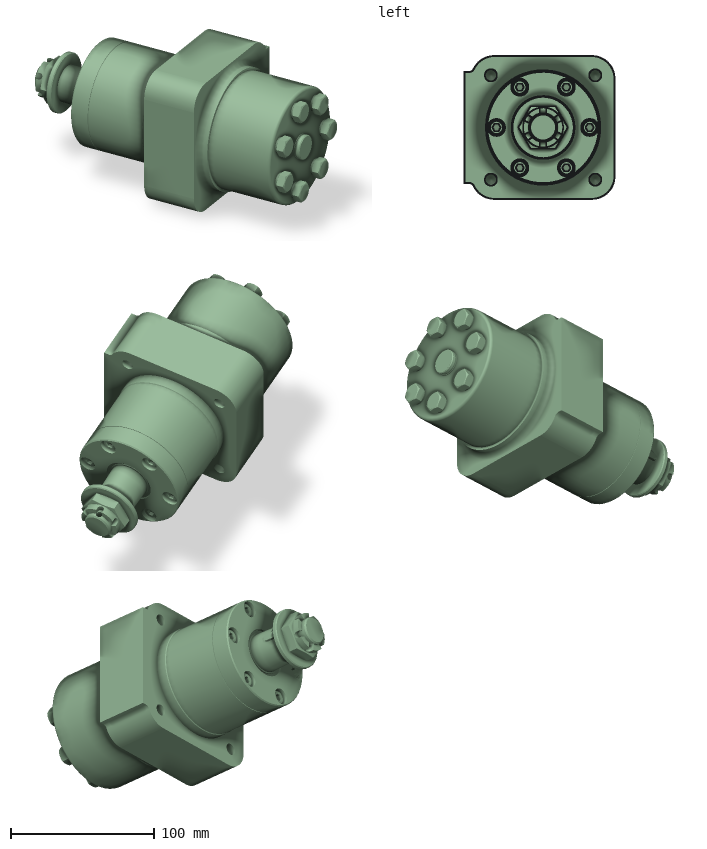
import cadquery as cq
import math


NUT_FRONT = 3.3
HEX_FRONT = 8.5
WASHER_FRONT = 16.7
WASHER_BACK = 20.4
TAPER_START = 20.8
TAPER_END = 44.7
CAP_FRONT = 46.6
CAP_GROOVE = 60.3
COLLAR_FRONT = 104.3
FLANGE_FRONT = 112.2
FLANGE_BACK = 152.3
STEP_BACK = 160.0
MOTOR_BACK = 209.1
LENGTH = 217.0

CAP_DIAMETER = 79.0
CAP_CHAMFER_DEPTH = 0.7
CAP_CHAMFER_LENGTH = 0.9
GROOVE_WIDTH = 0.7
GROOVE_DEPTH = 0.5
COLLAR_DIAMETER = 80.0
STEP_DIAMETER = 90.0
STEP_FILLET = 3.7
MOTOR_DIAMETER = 86.0
MOTOR_FILLET = 2.0

FLANGE_SIZE = 100.0
FLANGE_CORNER_RADIUS = 16.0
FLANGE_TAB_PROJECTION = 5.0
FLANGE_TAB_WIDTH = 77.7
FLANGE_TAB_FILLET = 3.7
FLANGE_HOLE_DIAMETER = 8.5
FLANGE_HOLE_SPACING = 72.9
FLANGE_HOLE_DEPTH = 20.0
DRILL_POINT_ANGLE = 118.0

CAP_SCREW_COUNT = 6
CAP_SCREW_CIRCLE_RADIUS = 32.5
COUNTERBORE_DIAMETER = 12.0
COUNTERBORE_DEPTH = 6.5
SCREW_HEAD_DIAMETER = 10.0
SCREW_HEAD_CHAMFER = 0.5
SCREW_HEAD_SINK = 2.2
SOCKET_FLATS = 5.0
SOCKET_DEPTH = 2.5

BOLT_COUNT = 7
BOLT_CIRCLE_RADIUS = 32.0
BOLT_FLATS = 13.0
BOLT_FACE_DIAMETER = 12.0
BOLT_FACE_HEIGHT = 1.3
BOLT_CHAMFER = 0.9

PLUG_DIAMETER = 18.0
PLUG_NECK_DIAMETER = 17.0
PLUG_HEIGHT = 4.5
PLUG_RIM = 0.7
PLUG_HEAD_HEIGHT = 2.5
PLUG_CHAMFER = 0.7

THREAD_DIAMETER = 20.0
THREAD_CHAMFER = 0.98
COTTER_HOLE_DIAMETER = 4.5
COTTER_HOLE_X = 3.5
TAPER_SMALL_DIAMETER = 27.0
TAPER_LARGE_DIAMETER = 28.2
JOURNAL_DIAMETER = 35.0
JOURNAL_SINK = 1.7
LIP_DIAMETER = 30.4
LIP_SINK = 0.9

KEY_WIDTH = 5.0
KEY_LENGTH = 13.5
KEY_END = 34.5
KEY_TOP = 15.5
KEY_HEIGHT = 5.0

WASHER_DIAMETER = 44.0
WASHER_CHAMFER = 0.7
NUT_FLATS = 30.0
CASTLE_DIAMETER = 28.0
NUT_CHAMFER_LENGTH = 0.9
NUT_SLOT_COUNT = 6
NUT_SLOT_WIDTH = 4.5
NUT_SLOT_END = 7.8


def hex_corner_diameter(flats):
    return flats / math.cos(math.radians(30))


def revolve_about_x(profile):
    """Turn a closed (x, radius) outline about the X axis."""
    return cq.Workplane("XY").polyline(profile).close().revolve(360, (0, 0, 0), (1, 0, 0))


def rod(x_start, x_end, diameter):
    """Cylinder on the X axis."""
    return cq.Workplane("YZ", origin=(x_start, 0, 0)).circle(diameter / 2).extrude(x_end - x_start)


def hex_rod(x_start, x_end, flats):
    """Hexagonal bar on the X axis with corners at +Y and -Y."""
    plane = cq.Workplane("YZ", origin=(x_start, 0, 0))
    return plane.polygon(6, hex_corner_diameter(flats)).extrude(x_end - x_start)


def around_axis(shape, count, radius):
    """Evenly spaced shifted copies of a shape about the X axis, the first one at +Y."""
    copies = []
    for index in range(count):
        angle = index * 2 * math.pi / count
        copies.append(shape.translate((0, radius * math.cos(angle), radius * math.sin(angle))))
    return copies


def make_flange():
    thickness = FLANGE_BACK - FLANGE_FRONT
    half = FLANGE_SIZE / 2
    tab_reach = half + FLANGE_TAB_PROJECTION
    plane = cq.Workplane("YZ", origin=(FLANGE_FRONT, 0, 0))
    flange = plane.rect(FLANGE_SIZE, FLANGE_SIZE).extrude(thickness)
    flange = flange.edges("|X").fillet(FLANGE_CORNER_RADIUS)
    tab = plane.center(tab_reach / 2, 0).rect(tab_reach, FLANGE_TAB_WIDTH).extrude(thickness)
    flange = flange.union(tab)

    corner_center = half - FLANGE_CORNER_RADIUS
    notch_z = FLANGE_TAB_WIDTH / 2
    notch_y = corner_center + math.sqrt(FLANGE_CORNER_RADIUS**2 - (notch_z - corner_center) ** 2)
    search_margin = 0.2
    for side in (-1, 1):
        near_notch = cq.selectors.BoxSelector(
            (FLANGE_FRONT, notch_y - search_margin, side * notch_z - search_margin),
            (FLANGE_BACK, notch_y + search_margin, side * notch_z + search_margin),
        )
        flange = flange.edges(near_notch).fillet(FLANGE_TAB_FILLET)
    return flange


def make_flange_hole():
    """Blind drilled hole with a conical end, on the X axis."""
    radius = FLANGE_HOLE_DIAMETER / 2
    hole_end = FLANGE_FRONT + FLANGE_HOLE_DEPTH
    point_length = radius / math.tan(math.radians(DRILL_POINT_ANGLE / 2))
    return revolve_about_x([
        (FLANGE_FRONT, 0),
        (FLANGE_FRONT, radius),
        (hole_end, radius),
        (hole_end + point_length, 0),
    ])


def make_front_barrel():
    """Cap, grooved barrel and locating collar in front of the flange."""
    cap_radius = CAP_DIAMETER / 2
    collar_radius = COLLAR_DIAMETER / 2
    return revolve_about_x([
        (CAP_FRONT, 0),
        (CAP_FRONT, cap_radius - CAP_CHAMFER_DEPTH),
        (CAP_FRONT + CAP_CHAMFER_LENGTH, cap_radius),
        (CAP_GROOVE, cap_radius),
        (CAP_GROOVE, cap_radius - GROOVE_DEPTH),
        (CAP_GROOVE + GROOVE_WIDTH, cap_radius - GROOVE_DEPTH),
        (CAP_GROOVE + GROOVE_WIDTH, cap_radius),
        (COLLAR_FRONT, cap_radius),
        (COLLAR_FRONT + collar_radius - cap_radius, collar_radius),
        (FLANGE_FRONT, collar_radius),
        (FLANGE_FRONT, 0),
    ])


def make_motor_barrel():
    """Filleted step and motor barrel behind the flange."""
    step_radius = STEP_DIAMETER / 2
    motor_radius = MOTOR_DIAMETER / 2
    step_arc_middle = STEP_FILLET * (1 - math.sqrt(0.5))
    motor_arc_middle = MOTOR_FILLET * (1 - math.sqrt(0.5))
    return (
        cq.Workplane("XY")
        .moveTo(FLANGE_BACK, 0)
        .lineTo(FLANGE_BACK, step_radius + STEP_FILLET)
        .threePointArc(
            (FLANGE_BACK + step_arc_middle, step_radius + step_arc_middle),
            (FLANGE_BACK + STEP_FILLET, step_radius),
        )
        .lineTo(STEP_BACK, step_radius)
        .lineTo(STEP_BACK, motor_radius)
        .lineTo(MOTOR_BACK - MOTOR_FILLET, motor_radius)
        .threePointArc(
            (MOTOR_BACK - motor_arc_middle, motor_radius - motor_arc_middle),
            (MOTOR_BACK, motor_radius - MOTOR_FILLET),
        )
        .lineTo(MOTOR_BACK, 0)
        .close()
        .revolve(360, (0, 0, 0), (1, 0, 0))
    )


def make_screw_gap():
    """Space around a sunk socket-head screw: counterbore less the head, plus the hex socket."""
    bottom = CAP_FRONT + COUNTERBORE_DEPTH
    head_top = CAP_FRONT + SCREW_HEAD_SINK
    gap = rod(CAP_FRONT, bottom, COUNTERBORE_DIAMETER)
    head = rod(head_top, bottom, SCREW_HEAD_DIAMETER).faces("<X").chamfer(SCREW_HEAD_CHAMFER)
    gap = gap.cut(head)
    return gap.union(hex_rod(CAP_FRONT, head_top + SOCKET_DEPTH, SOCKET_FLATS))


def make_bolt_head():
    """Hex bolt head with a round bearing face and chamfered corners at both ends."""
    face_radius = BOLT_FACE_DIAMETER / 2
    corner_radius = hex_corner_diameter(BOLT_FLATS) / 2
    hex_start = MOTOR_BACK + BOLT_FACE_HEIGHT
    envelope = revolve_about_x([
        (MOTOR_BACK, 0),
        (MOTOR_BACK, face_radius),
        (hex_start, face_radius),
        (hex_start + BOLT_CHAMFER, corner_radius),
        (LENGTH - BOLT_CHAMFER, corner_radius),
        (LENGTH, face_radius),
        (LENGTH, 0),
    ])
    return hex_rod(MOTOR_BACK, LENGTH, BOLT_FLATS).intersect(envelope)


def make_plug():
    """Round end plug with a narrow neck."""
    end = MOTOR_BACK + PLUG_HEIGHT
    radius = PLUG_DIAMETER / 2
    plug = rod(MOTOR_BACK, end, PLUG_NECK_DIAMETER)
    plug = plug.union(rod(MOTOR_BACK, MOTOR_BACK + PLUG_RIM, PLUG_DIAMETER))
    head = revolve_about_x([
        (end - PLUG_HEAD_HEIGHT, 0),
        (end - PLUG_HEAD_HEIGHT, radius),
        (end - PLUG_CHAMFER, radius),
        (end, radius - PLUG_CHAMFER),
        (end, 0),
    ])
    return plug.union(head)


def make_housing():
    housing = make_flange().union(make_front_barrel()).union(make_motor_barrel()).union(make_plug())
    for bolt in around_axis(make_bolt_head(), BOLT_COUNT, BOLT_CIRCLE_RADIUS):
        housing = housing.union(bolt)
    for gap in around_axis(make_screw_gap(), CAP_SCREW_COUNT, CAP_SCREW_CIRCLE_RADIUS):
        housing = housing.cut(gap)
    hole = make_flange_hole()
    offset = FLANGE_HOLE_SPACING / 2
    for y in (-offset, offset):
        for z in (-offset, offset):
            housing = housing.cut(hole.translate((0, y, z)))
    return housing.cut(rod(CAP_FRONT, FLANGE_FRONT, JOURNAL_DIAMETER))


def make_key():
    """Parallel key with rounded ends, standing on the +Y side of the taper."""
    middle = KEY_END - KEY_LENGTH / 2
    plane = cq.Workplane("XZ", origin=(middle, KEY_TOP, 0))
    return plane.slot2D(KEY_LENGTH, KEY_WIDTH).extrude(KEY_HEIGHT)


def make_shaft():
    thread_radius = THREAD_DIAMETER / 2
    taper_end_radius = TAPER_LARGE_DIAMETER / 2
    journal_radius = JOURNAL_DIAMETER / 2
    lip_radius = LIP_DIAMETER / 2
    lip_front = CAP_FRONT + LIP_SINK
    journal_front = CAP_FRONT + JOURNAL_SINK
    shaft = revolve_about_x([
        (0, 0),
        (0, thread_radius - THREAD_CHAMFER),
        (THREAD_CHAMFER, thread_radius),
        (TAPER_START, thread_radius),
        (TAPER_START, TAPER_SMALL_DIAMETER / 2),
        (TAPER_END, taper_end_radius),
        (lip_front, taper_end_radius),
        (lip_front, lip_radius),
        (journal_front, lip_radius),
        (journal_front, journal_radius),
        (FLANGE_FRONT, journal_radius),
        (FLANGE_FRONT, 0),
    ])
    cotter_plane = cq.Workplane("XY", origin=(COTTER_HOLE_X, 0, 0))
    cotter_hole = cotter_plane.circle(COTTER_HOLE_DIAMETER / 2).extrude(thread_radius, both=True)
    return shaft.cut(cotter_hole).cut(make_key())


def make_washer():
    plate = rod(WASHER_FRONT, WASHER_BACK, WASHER_DIAMETER).edges().chamfer(WASHER_CHAMFER)
    return plate.cut(rod(WASHER_FRONT, WASHER_BACK, THREAD_DIAMETER))


def make_nut_slot():
    """Radial slot with a round bottom, opening at the nut front on the +Z side."""
    reach = NUT_FLATS / 2
    bottom_center = NUT_SLOT_END - NUT_SLOT_WIDTH / 2
    base = cq.Workplane("XY", origin=(bottom_center, 0, 0))
    slot = base.circle(NUT_SLOT_WIDTH / 2).extrude(reach)
    open_length = bottom_center - NUT_FRONT
    mouth = base.center(-open_length / 2, 0).rect(open_length, NUT_SLOT_WIDTH).extrude(reach)
    return slot.union(mouth)


def make_nut():
    castle_radius = CASTLE_DIAMETER / 2
    corner_radius = hex_corner_diameter(NUT_FLATS) / 2
    envelope = revolve_about_x([
        (NUT_FRONT, 0),
        (NUT_FRONT, castle_radius),
        (HEX_FRONT, castle_radius),
        (HEX_FRONT + NUT_CHAMFER_LENGTH, corner_radius),
        (WASHER_FRONT - NUT_CHAMFER_LENGTH, corner_radius),
        (WASHER_FRONT, castle_radius),
        (WASHER_FRONT, 0),
    ])
    nut = hex_rod(NUT_FRONT, WASHER_FRONT, NUT_FLATS).intersect(envelope)
    slot = make_nut_slot()
    for index in range(NUT_SLOT_COUNT):
        nut = nut.cut(slot.rotate((0, 0, 0), (1, 0, 0), index * 360 / NUT_SLOT_COUNT))
    return nut.cut(rod(NUT_FRONT, WASHER_FRONT, THREAD_DIAMETER))


housing = make_housing()
shaft = make_shaft()
key = make_key()
washer = make_washer()
nut = make_nut()

result = cq.Compound.makeCompound([
    housing.solids().val(),
    shaft.solids().val(),
    key.solids().val(),
    washer.solids().val(),
    nut.solids().val(),
])